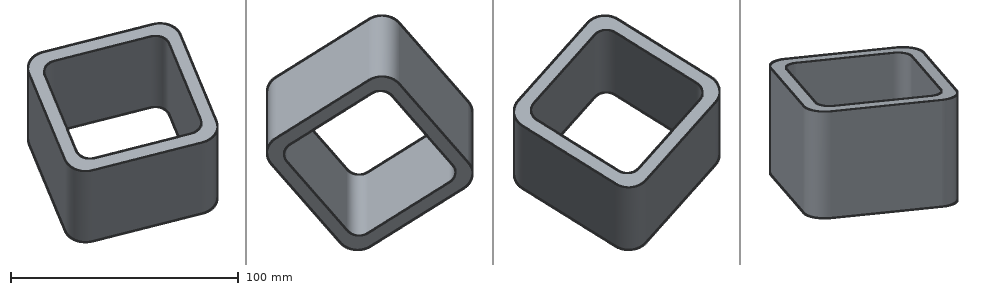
import cadquery as cq

side = 70.0
height = 50.0
wall = 6.3
outer_radius = 9.5
inner_radius = outer_radius - wall / 2


def rounded_block(width, corner_radius):
    """Square prism standing on Z = 0 with rounded vertical edges."""
    block = cq.Workplane("XY").rect(width, width).extrude(height)
    return block.edges("|Z").fillet(corner_radius)


outer_body = rounded_block(side, outer_radius)
bore = rounded_block(side - 2 * wall, inner_radius)

result = outer_body.cut(bore)